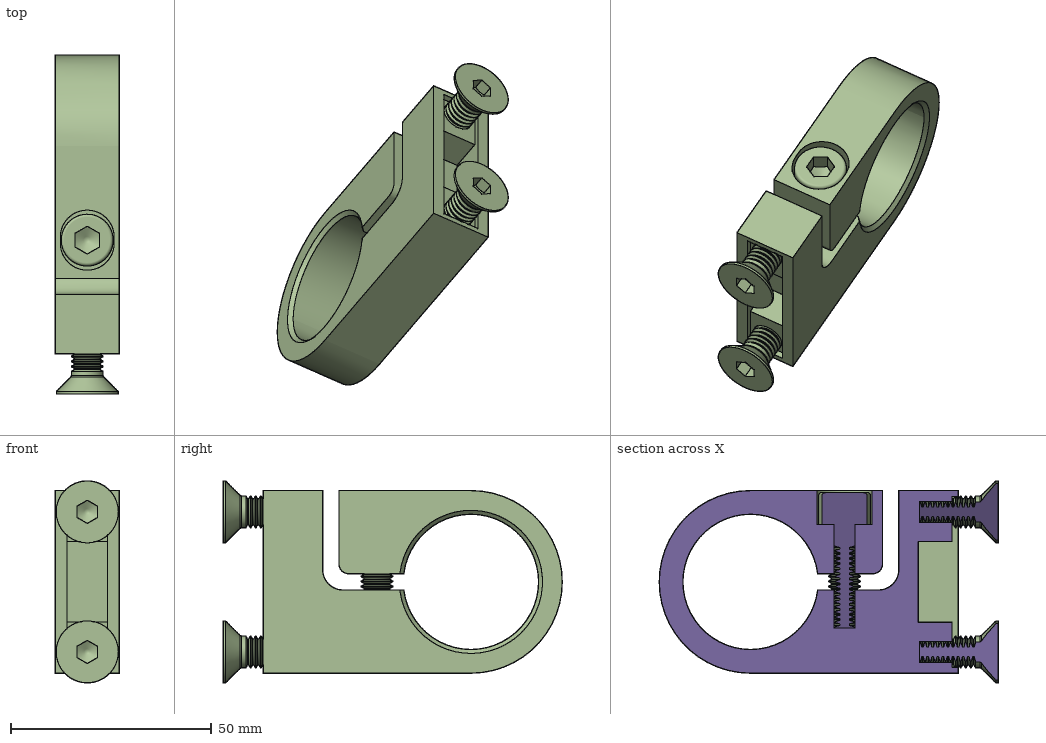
import cadquery as cq
import math


body_width = 16.0
bore_diameter = 33.8
body_height = 45.7
outer_radius = body_height / 2
bore_chamfer = 1.0
body_length = 74.8
end_face_y = outer_radius - body_length

slit_gap = 4.0
upright_thickness = 14.9
slit_back_y = end_face_y + upright_thickness
jaw_end_y = slit_back_y + slit_gap
jaw_corner_radius = 2.55
slit_corner_radius = 5.0

pocket_width = 10.0
pocket_end_wall = 1.5
recess_height = 2 * (outer_radius - pocket_end_wall)
recess_depth = 1.5
pocket_height = 20.1
pocket_depth = 10.0

thread_diameter = 8.0
thread_pitch = 1.3
thread_angle = 60
crest_flat = thread_pitch / 8
root_flat = thread_pitch / 4
flank_run = (thread_pitch - crest_flat - root_flat) / 2
thread_depth = flank_run / math.tan(math.radians(thread_angle / 2))
crest_radius = thread_diameter / 2
root_radius = crest_radius - thread_depth
drill_point_angle = 120

mounting_spacing = 35.05
mounting_heights = [mounting_spacing / 2, -mounting_spacing / 2]
mounting_protrusion = 10.0
mounting_head_diameter = 15.5
mounting_head_radius = mounting_head_diameter / 2
mounting_rim = 0.64
neck_radius = 4.2
neck_start = mounting_rim + mounting_head_radius - neck_radius
neck_length = 0.3
mounting_thread_start = 5.7
mounting_ring_count = 11
mounting_length = mounting_thread_start + mounting_ring_count * thread_pitch
mounting_socket_flats = 5.0
mounting_socket_depth = 3.0
mounting_face_y = end_face_y - mounting_protrusion

clamping_y = -23.5
clamping_head_diameter = 13.0
clamping_head_height = 8.0
clamping_head_fillet = 0.8
clamping_head_sink = 0.5
clamping_shank_length = 5.4
clamping_thread_start = clamping_head_height + clamping_shank_length
clamping_ring_count = 16
clamping_length = clamping_thread_start + clamping_ring_count * thread_pitch
clamping_socket_flats = 6.0
clamping_socket_depth = 4.0
clamping_face_z = outer_radius - clamping_head_sink

counterbore_width = 13.5
counterbore_length = 15.0
counterbore_depth = clamping_head_sink + clamping_head_height


def along_y(screw, z):
    """Turn an upright shape so that its top faces -Y, at the mounting screw position."""
    return screw.rotate((0, 0, 0), (1, 0, 0), 90).translate((0, mounting_face_y, z))


def along_z(screw):
    """Move an upright shape to the clamping screw position."""
    return screw.translate((0, clamping_y, clamping_face_z))


def spin(profile):
    """Revolve a closed XZ profile once around the Z axis."""
    return profile.revolve(360, (0, 0, 0), (0, 1, 0))


def rod(length):
    """Plain cylinder of the thread's outer diameter, from z = 0 downwards."""
    return cq.Workplane("XY").circle(crest_radius).extrude(-length)


def make_body():
    outline = (
        cq.Workplane("YZ")
        .moveTo(0, -outer_radius)
        .threePointArc((outer_radius, 0), (0, outer_radius))
        .lineTo(end_face_y, outer_radius)
        .lineTo(end_face_y, -outer_radius)
        .close()
    )
    body = outline.extrude(body_width / 2, both=True)
    bore = cq.Workplane("YZ").circle(bore_diameter / 2).extrude(body_width / 2, both=True)
    body = body.cut(bore)
    bore_rims = body.faces("<X or >X").edges("%CIRCLE").edges(cq.selectors.RadiusNthSelector(0))
    body = bore_rims.chamfer(bore_chamfer)
    body = body.cut(make_slit()).cut(make_pocket()).cut(make_counterbore())
    body = body.cut(along_z(rod(clamping_length)))
    for z in mounting_heights:
        body = body.cut(along_y(rod(mounting_length), z))
    return body


def make_slit():
    half_gap = slit_gap / 2
    diagonal = 1 - math.sqrt(0.5)
    jaw_inset = jaw_corner_radius * diagonal
    slit_inset = slit_corner_radius * diagonal
    return (
        cq.Workplane("YZ")
        .moveTo(0, half_gap)
        .lineTo(jaw_end_y + jaw_corner_radius, half_gap)
        .threePointArc(
            (jaw_end_y + jaw_inset, half_gap + jaw_inset),
            (jaw_end_y, half_gap + jaw_corner_radius),
        )
        .lineTo(jaw_end_y, outer_radius)
        .lineTo(slit_back_y, outer_radius)
        .lineTo(slit_back_y, slit_corner_radius - half_gap)
        .threePointArc(
            (slit_back_y + slit_inset, slit_inset - half_gap),
            (slit_back_y + slit_corner_radius, -half_gap),
        )
        .lineTo(0, -half_gap)
        .close()
        .extrude(body_width / 2, both=True)
    )


def make_pocket():
    end_face = cq.Workplane("XZ", origin=(0, end_face_y, 0))
    recess = end_face.rect(pocket_width, recess_height).extrude(-recess_depth)
    deep_part = end_face.rect(pocket_width, pocket_height).extrude(-pocket_depth)
    return recess.union(deep_part)


def make_counterbore():
    return (
        cq.Workplane("XY", origin=(0, clamping_y, outer_radius))
        .slot2D(counterbore_length, counterbore_width, 90)
        .extrude(-counterbore_depth)
    )


def make_thread(start, ring_count):
    """Threaded rod of ring-shaped ridges, running down from z = -start."""
    profile = cq.Workplane("XZ").moveTo(0, -start).lineTo(crest_radius, -start)
    for ring in range(ring_count):
        ring_top = -start - ring * thread_pitch
        root_top = ring_top - flank_run
        root_bottom = root_top - root_flat
        crest_top = root_bottom - flank_run
        profile = (
            profile.lineTo(root_radius, root_top)
            .lineTo(root_radius, root_bottom)
            .lineTo(crest_radius, crest_top)
            .lineTo(crest_radius, crest_top - crest_flat)
        )
    end = -start - ring_count * thread_pitch
    return spin(profile.lineTo(0, end).close())


def make_socket(flats, depth):
    """Hexagonal socket below z = 0 with corners on the Y axis and a conical floor."""
    corner_radius = flats / math.sqrt(3)
    tip = depth + corner_radius / math.tan(math.radians(drill_point_angle / 2))
    hexagon = cq.Workplane("XY").transformed(rotate=(0, 0, 90)).polygon(6, 2 * corner_radius)
    drill_profile = [(0, 0), (corner_radius, 0), (corner_radius, -depth), (0, -tip)]
    pointed_rod = spin(cq.Workplane("XZ").polyline(drill_profile).close())
    return hexagon.extrude(-tip).intersect(pointed_rod)


def make_mounting_screw(z):
    head_profile = [
        (0, 0),
        (mounting_head_radius, 0),
        (mounting_head_radius, -mounting_rim),
        (neck_radius, -neck_start),
        (crest_radius, -neck_start - neck_length),
        (crest_radius, -mounting_thread_start),
        (0, -mounting_thread_start),
    ]
    head = spin(cq.Workplane("XZ").polyline(head_profile).close())
    screw = head.union(make_thread(mounting_thread_start, mounting_ring_count))
    screw = screw.cut(make_socket(mounting_socket_flats, mounting_socket_depth))
    return along_y(screw, z)


def make_clamping_screw():
    head = (
        cq.Workplane("XY")
        .circle(clamping_head_diameter / 2)
        .extrude(-clamping_head_height)
        .faces(">Z")
        .edges()
        .fillet(clamping_head_fillet)
    )
    screw = head.union(rod(clamping_thread_start))
    screw = screw.union(make_thread(clamping_thread_start, clamping_ring_count))
    screw = screw.cut(make_socket(clamping_socket_flats, clamping_socket_depth))
    return along_z(screw)


clamp_body = make_body()
clamping_screw = make_clamping_screw()
mounting_screws = [make_mounting_screw(z) for z in mounting_heights]

result = cq.Compound.makeCompound(
    [clamp_body.val(), clamping_screw.val(), *[screw.val() for screw in mounting_screws]]
)